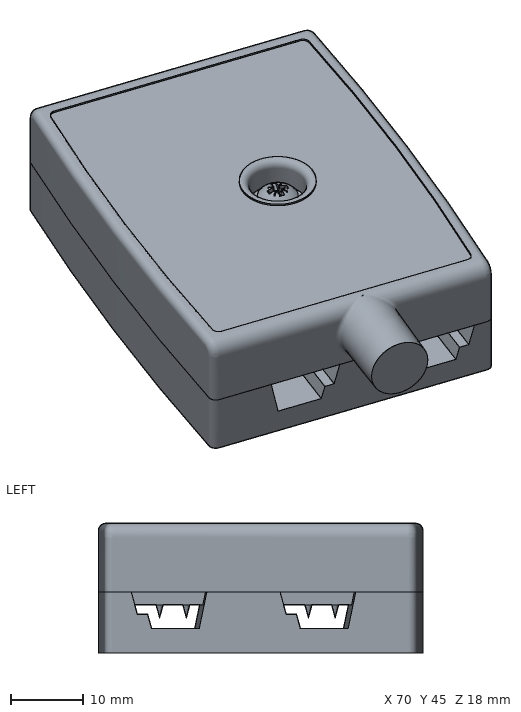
import cadquery as cq
import math

box_length = 60.0
box_end_width = 43.0
box_mid_width = 44.97
box_height = 18.0
split_height = 8.5
corner_radius = 1.1
end_edge_radius = 2.0

label_end_inset = 2.8
label_side_inset = 1.8
label_corner_radius = 1.0
label_depth = 0.25

screw_y = 2.6
well_diameter = 8.0
well_collar_diameter = 10.67
well_mouth_radius = 1.0
well_floor = 14.0

spout_y = 2.45
spout_z = 13.5
spout_end = 40.0
spout_root_radius = 4.49
spout_tip_radius = 4.3
spout_root = 27.0
spout_blend_radius = 0.6

channel_ys = (12.15, -8.45)
channel_skew = 0.65
channel_top_left = 5.78
channel_top_right = -4.7
channel_shelf_z = 5.4
channel_shelf_outer = 4.92
channel_shelf_inner = 3.5
channel_floor_z = 3.45
channel_floor_left = 2.95
channel_floor_right = -3.65

tongue_length = 24.0
tongue_bottom = 6.7
spike_offset = 1.85
spike_radius = 0.5
spike_length = 1.8

head_diameter = 5.6
head_side_height = 1.4
head_dome_height = 1.3
head_top = well_floor + head_side_height + head_dome_height
shank_diameter = 3.0
shank_end = 3.0
cross_span = 3.7
cross_width = 0.7
cross_depth = 1.3
tick_span = 2.8
tick_width = 0.15
tick_depth = 0.5


def bowed_outline(length, end_width, mid_width, z):
    """Rectangle whose two long sides bulge outwards as shallow arcs."""
    x = length / 2
    y = end_width / 2
    bulge = mid_width / 2
    return (
        cq.Workplane("XY", origin=(0, 0, z))
        .moveTo(-x, -y)
        .threePointArc((0, -bulge), (x, -y))
        .lineTo(x, y)
        .threePointArc((0, bulge), (-x, y))
        .close()
    )


def cylinder_at_screw(diameter, bottom, top):
    return (
        cq.Workplane("XY", origin=(0, screw_y, bottom))
        .circle(diameter / 2)
        .extrude(top - bottom)
    )


def channel(y):
    """Stepped trough along X whose +X end is shifted slightly towards +Y."""
    corners = [
        (channel_top_left, split_height),
        (channel_shelf_outer, channel_shelf_z),
        (channel_shelf_inner, channel_shelf_z),
        (channel_floor_left, channel_floor_z),
        (channel_floor_right, channel_floor_z),
        (channel_top_right, split_height),
    ]

    def section(x, shift):
        points = [cq.Vector(x, y + shift + side, z) for side, z in corners]
        return cq.Wire.makePolygon(points, close=True)

    ends = [section(-box_length / 2, 0), section(box_length / 2, channel_skew)]
    return cq.Workplane(cq.Solid.makeLoft(ends, True))


def screw_shank():
    """Plain shank below the head; it also cuts its own fitting hole in the base and the cover."""
    return cylinder_at_screw(shank_diameter, shank_end, well_floor)


def make_base():
    base = bowed_outline(box_length, box_end_width, box_mid_width, 0).extrude(split_height)
    base = base.edges("|Z").fillet(corner_radius)
    for y in channel_ys:
        base = base.cut(channel(y))
    return base.cut(screw_shank())


def cover_shell():
    """Upper half: large rounding along the ends, smaller one on the corners and sides."""
    shell = bowed_outline(box_length, box_end_width, box_mid_width, split_height)
    shell = shell.extrude(box_height - split_height)
    shell = shell.edges(">Z and |Y").fillet(end_edge_radius)
    return shell.edges("not |Y").edges("not <Z").fillet(corner_radius)


def add_spout(shell):
    """Spout that enters the cover straight, tapers outside it and is blended at its root."""
    wall_x = box_length / 2
    spout = (
        cq.Workplane("XY", origin=(0, spout_y, spout_z))
        .moveTo(spout_root, 0)
        .lineTo(spout_root, spout_root_radius)
        .lineTo(wall_x, spout_root_radius)
        .lineTo(spout_end, spout_tip_radius)
        .lineTo(spout_end, 0)
        .close()
        .revolve(360, (0, 0, 0), (1, 0, 0))
    )
    reach = spout_root_radius + spout_blend_radius
    around_root = cq.selectors.BoxSelector(
        (spout_root, spout_y - reach, spout_z - reach),
        (wall_x + spout_blend_radius, spout_y + reach, spout_z + reach),
        boundingbox=True,
    )
    return shell.union(spout).edges(around_root).fillet(spout_blend_radius)


def label_recess():
    """Shallow bowed panel that leaves a collar standing around the screw well."""
    panel = bowed_outline(
        box_length - 2 * label_end_inset,
        box_end_width - 2 * label_side_inset,
        box_mid_width - 2 * label_side_inset,
        box_height - label_depth,
    )
    panel = panel.extrude(label_depth).edges("|Z").fillet(label_corner_radius)
    return panel.cut(cylinder_at_screw(well_collar_diameter, box_height - label_depth, box_height))


def screw_well():
    """Flat-bottomed well whose mouth flares out in a quarter round."""
    radius = well_diameter / 2
    mouth = radius + well_mouth_radius
    bend = well_mouth_radius * (1 - math.sqrt(0.5))
    profile = (
        cq.Workplane("XZ", origin=(0, screw_y, 0))
        .moveTo(0, well_floor)
        .lineTo(radius, well_floor)
        .lineTo(radius, box_height - well_mouth_radius)
        .threePointArc((radius + bend, box_height - bend), (mouth, box_height))
        .lineTo(0, box_height)
        .close()
    )
    return profile.revolve(360, (0, 0, 0), (0, 1, 0))


def tongue(y):
    """Block filling the upper part of a channel, with two spikes side by side under it."""
    slab = cq.Workplane("XY", origin=(0, y, tongue_bottom)).box(
        tongue_length,
        2 * (channel_top_left + channel_skew),
        split_height - tongue_bottom,
        centered=(True, True, False),
    )
    block = slab.intersect(channel(y))
    for side in (-spike_offset, spike_offset):
        spike = cq.Solid.makeCone(
            spike_radius, 0, spike_length, pnt=(0, y + side, tongue_bottom), dir=(0, 0, -1)
        )
        block = block.union(cq.Workplane(spike))
    return block


def make_cover():
    cover = add_spout(cover_shell())
    cover = cover.cut(label_recess()).cut(screw_well()).cut(screw_shank())
    for y in channel_ys:
        cover = cover.union(tongue(y))
    return cover


def cross_recess():
    """Two crossed slots with sloping ends, and fine diagonal ticks between them."""
    top = head_top
    bottom = top - cross_depth
    half_floor = cross_width / 2
    half_top = cross_span / 2
    slot = (
        cq.Workplane("XZ", origin=(0, cross_width / 2, 0))
        .polyline([(-half_floor, bottom), (half_floor, bottom), (half_top, top), (-half_top, top)])
        .close()
        .extrude(cross_width)
    )
    tick = cq.Workplane("XY", origin=(0, 0, top - tick_depth)).box(
        tick_span, tick_width, tick_depth, centered=(True, True, False)
    )
    recess = slot.union(slot.rotate((0, 0, 0), (0, 0, 1), 90))
    for angle in (45, 135):
        recess = recess.union(tick.rotate((0, 0, 0), (0, 0, 1), angle))
    return recess.translate((0, screw_y, 0))


def make_screw():
    radius = head_diameter / 2
    rim = well_floor + head_side_height
    dome_radius = (radius**2 + head_dome_height**2) / (2 * head_dome_height)
    dome_half_angle = math.asin(radius / dome_radius) / 2
    dome_mid = (
        dome_radius * math.sin(dome_half_angle),
        head_top - dome_radius * (1 - math.cos(dome_half_angle)),
    )
    head = (
        cq.Workplane("XZ", origin=(0, screw_y, 0))
        .moveTo(0, well_floor)
        .lineTo(radius, well_floor)
        .lineTo(radius, rim)
        .threePointArc(dome_mid, (0, head_top))
        .close()
        .revolve(360, (0, 0, 0), (0, 1, 0))
    )
    return head.union(screw_shank()).cut(cross_recess())


base = make_base()
cover = make_cover()
screw = make_screw()
result = cq.Compound.makeCompound([*base.solids().vals(), *cover.solids().vals(), *screw.solids().vals()])